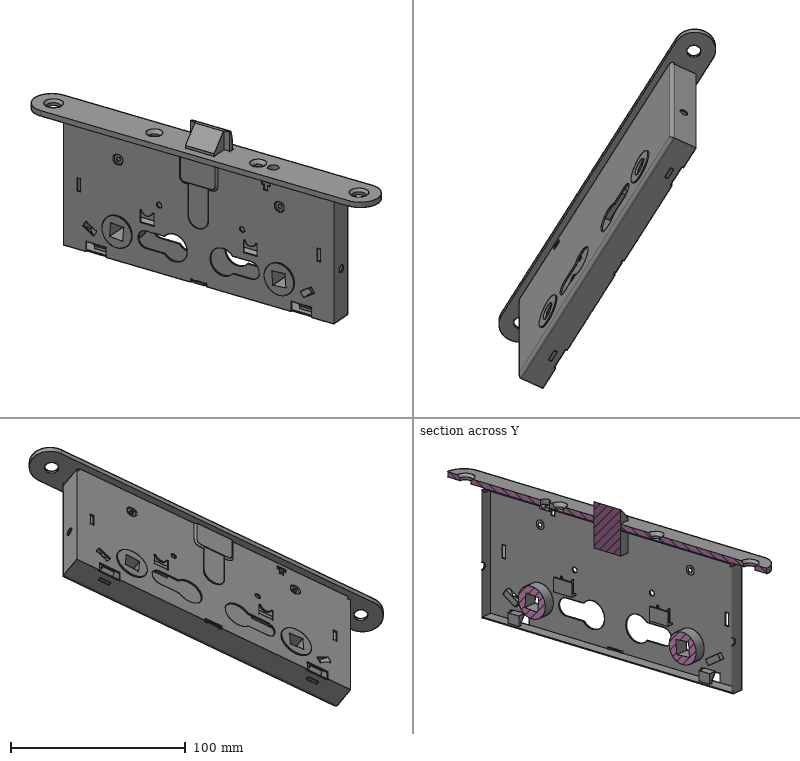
import cadquery as cq
import math


plate_length = 235.0
plate_width = 24.0
plate_thickness = 3.5
plate_bottom = -plate_thickness
end_screw_x = 104.5
end_screw_diameter = 8.0
end_screw_sink_diameter = 11.3
case_screw_x = 35.5
case_screw_diameter = 5.6
case_screw_sink_diameter = 9.8
adjuster_x = 45.9
adjuster_diameter = 6.4
sink_angle = 90.0

case_length = 185.0
case_front = -8.0
case_back = 8.3
case_bottom = -84.0
sheet = 0.9
bend_radius = 2.2
raised_front = case_front - 0.9
raised_back = case_back + 0.7
corner_notch = 1.6

latch_top = 12.0
latch_bottom = -20.0
latch_half_width = 9.8
latch_front = -6.8
latch_nose_height = 1.7
latch_ridge_y = 3.0
flange_half_width = 13.4
flange_front = 3.8
flange_back = 6.9
flange_top_back = 5.4
flange_taper_start = 6.0
flange_side_clearance = 0.5
flange_back_clearance = 0.2

housing_width = 26.3
housing_bottom = -21.8
housing_corner = 4.0
housing_bevel = 1.4
tongue_width = 13.7
tongue_bottom = -48.0
tongue_rise = 0.7

lock_axis_z = -65.2
hub_x = 55.5
hub_diameter = 20.2
spindle_size = 9.0
spindle_tilt = 4.5
hub_back_hole_diameter = 10.2
cylinder_x = 16.6
cylinder_diameter = 17.5
cylinder_slot_height = 11.2
cylinder_slot_end_x = 41.5

rivet_x = 55.2
rivet_z = -19.3
rivet_diameter = 6.8
rivet_floor_diameter = 5.8
rivet_depth = 0.7
rivet_hole_diameter = 2.7
stop_holes_x = (-27.0, 29.8)
stop_hole_z = -40.7
stop_hole_diameter = 3.5
side_slot_x = 82.1
side_slot_z = -42.8
side_slot_width = 2.4
side_slot_height = 8.2
spring_window_x = 35.4
spring_window_width = 9.5
spring_window_top = -47.2
spring_window_bottom = -55.2
spring_bump_radius = 3.8
spring_bump_bottom = -50.0
spring_ledge_width = 13.5
spring_ledge_depth = 3.0
spring_ledge_rise = 1.2
dent_x = 74.5
dent_z = -68.7
dent_length = 8.8
dent_width = 4.0
dent_depth = 3.0
dent_tilt = 32.0
cross_hole_z = -52.0
cross_hole_diameter = 4.6

tee_top = -6.0
tee_shoulder = -8.1
tee_bottom = -11.4
tee_width = 5.7
tee_stem_width = 2.7
ramp_block_bottom = -5.8
ramp_bottom = -5.3

tab_x = 70.2
tab_notch_width = 13.9
tab_notch_top = -77.5
tab_width = 8.0
tab_tip_width = 7.0
tab_hook_front = case_front + 1.5
tab_hook_bottom = -81.4
tab_front = -3.5
tab_back = -1.5
tab_bottom = case_bottom - 0.5
middle_notch_width = 11.0
middle_notch_height = 2.0
middle_tab_width = 7.1
middle_tab_setback = 0.4
middle_tab_gap = 0.6


def box(x_min, x_max, y_min, y_max, z_min, z_max):
    """Box between the given limits."""
    size = (x_max - x_min, y_max - y_min, z_max - z_min)
    return cq.Workplane("XY").box(*size, centered=False).translate((x_min, y_min, z_min))


def centred_box(x, width, y_min, y_max, z_min, z_max):
    """Box centred on x."""
    return box(x - width / 2, x + width / 2, y_min, y_max, z_min, z_max)


def xz_plane(y):
    """Workplane facing the front, so that extruding goes towards -Y."""
    return cq.Workplane("XZ", origin=(0, y, 0))


def rod(x, z, diameter, y_min, y_max):
    """Cylinder along Y."""
    return xz_plane(y_max).center(x, z).circle(diameter / 2).extrude(y_max - y_min)


def tilted_rectangle(x, z, length, height, angle, y_min, y_max):
    """Rectangular prism along Y, turned anticlockwise when looked at from the front."""
    profile = xz_plane(y_max).transformed(offset=(x, z, 0), rotate=(0, 0, angle))
    return profile.rect(length, height).extrude(y_max - y_min)



def latch_block():
    side = [
        (flange_front, latch_bottom),
        (latch_front, latch_bottom),
        (latch_front, latch_nose_height),
        (latch_ridge_y, latch_top),
        (flange_front, latch_top),
    ]
    profile = cq.Workplane("YZ").polyline(side).close()
    return profile.extrude(latch_half_width, both=True)


def latch_flange():
    side = [
        (flange_front, latch_bottom),
        (flange_front, latch_top),
        (flange_top_back, latch_top),
        (flange_back, flange_taper_start),
        (flange_back, latch_bottom),
    ]
    profile = cq.Workplane("YZ").polyline(side).close()
    return profile.extrude(flange_half_width, both=True)


def build_latch():
    return latch_block().union(latch_flange())


def latch_opening(z_min, z_max):
    """T-shaped opening that the latch slides through, with clearance around its flange."""
    block = centred_box(0, 2 * latch_half_width, latch_front, flange_front, z_min, z_max)
    flange_width = 2 * (flange_half_width + flange_side_clearance)
    opening_back = flange_back + flange_back_clearance
    flange = centred_box(0, flange_width, flange_front, opening_back, z_min, z_max)
    return block.union(flange)



def build_faceplate():
    plate = cq.Workplane("XY").slot2D(plate_length, plate_width).extrude(-plate_thickness)
    plate = plate.faces(">Z").workplane(origin=(0, 0, 0)).pushPoints(
        [(-end_screw_x, 0), (end_screw_x, 0)]
    ).cskHole(end_screw_diameter, end_screw_sink_diameter, sink_angle)
    plate = plate.faces(">Z").workplane(origin=(0, 0, 0)).pushPoints(
        [(-case_screw_x, 0), (case_screw_x, 0)]
    ).cskHole(case_screw_diameter, case_screw_sink_diameter, sink_angle)
    plate = plate.faces(">Z").workplane(origin=(0, 0, 0)).center(adjuster_x, 0).hole(adjuster_diameter)
    return plate.cut(latch_opening(plate_bottom, 0))



def bent_box(inset, radius):
    """Case block moved in by inset, rounded along its side and bottom edges at the back."""
    block = centred_box(
        0, case_length - 2 * inset,
        case_front + inset, case_back - inset,
        case_bottom + inset, plate_bottom - inset,
    )
    return block.faces(">Y").edges("not >Z").fillet(radius)


def corner_notches():
    """Notches in the front and end walls at both upper corners, up to the back bend."""
    notches = cq.Workplane("XY")
    for side in (-1, 1):
        notch = centred_box(
            side * (case_length - corner_notch) / 2, corner_notch,
            case_front, case_back - bend_radius,
            plate_bottom - corner_notch, plate_bottom,
        )
        notches = notches.add(notch)
    return notches.combine()


def corner_liners():
    """Folded flanges that close the upper corner notches from inside."""
    liners = cq.Workplane("XY")
    for side in (-1, 1):
        liner = centred_box(
            side * (case_length / 2 - corner_notch - sheet / 2), sheet,
            case_front + sheet, case_back - sheet,
            plate_bottom - corner_notch - sheet, plate_bottom,
        )
        liners = liners.add(liner)
    return liners.combine()


def latch_housing():
    """Raised bevelled pad with a round-ended tongue below it."""
    rise = case_front - raised_front
    bevel_angle = math.degrees(math.atan(housing_bevel / rise))
    outline_height = plate_bottom - housing_bottom + 2 * housing_bevel
    pad = (
        xz_plane(case_front)
        .center(0, housing_bottom + outline_height / 2)
        .sketch()
        .rect(housing_width, outline_height)
        .vertices("<Y")
        .fillet(housing_corner)
        .finalize()
        .extrude(rise, taper=bevel_angle)
    )
    above_case = centred_box(
        0, housing_width, raised_front, case_front, plate_bottom, plate_bottom + outline_height
    )
    pad = pad.cut(above_case)
    tongue_radius = tongue_width / 2
    end_z = tongue_bottom + tongue_radius
    tongue_front = case_front - tongue_rise
    tongue = centred_box(0, tongue_width, tongue_front, case_front, end_z, housing_bottom + housing_corner)
    return pad.union(tongue).union(rod(0, end_z, tongue_width, tongue_front, case_front))


def hub(side):
    """Drum through the case with a tilted square hole and a round opening at the back."""
    drum = rod(side * hub_x, lock_axis_z, hub_diameter, raised_front, raised_back)
    square = tilted_rectangle(
        side * hub_x, lock_axis_z, spindle_size, spindle_size,
        side * spindle_tilt, raised_front, case_back - sheet,
    )
    opening = rod(side * hub_x, lock_axis_z, hub_back_hole_diameter, case_back - sheet, raised_back)
    return drum.cut(square).cut(opening)


def cylinder_opening(side):
    """Profile-cylinder hole through both walls, its slot pointing outwards."""
    barrel = rod(side * cylinder_x, lock_axis_z, cylinder_diameter, case_front, case_back)
    slot_radius = cylinder_slot_height / 2
    slot_end = cylinder_slot_end_x - slot_radius
    slot_length = slot_end - cylinder_x
    slot = centred_box(
        side * (cylinder_x + slot_length / 2), slot_length, case_front, case_back,
        lock_axis_z - slot_radius, lock_axis_z + slot_radius,
    )
    slot_tip = rod(side * slot_end, lock_axis_z, cylinder_slot_height, case_front, case_back)
    return barrel.union(slot).union(slot_tip)


def rivet_recess(side):
    """Tapered recess with a small hole through the front wall."""
    wall_back = case_front + sheet
    taper = math.degrees(math.atan((rivet_diameter - rivet_floor_diameter) / 2 / rivet_depth))
    recess = xz_plane(case_front).center(side * rivet_x, rivet_z).circle(rivet_diameter / 2)
    recess = recess.extrude(-rivet_depth, taper=taper)
    return recess.union(rod(side * rivet_x, rivet_z, rivet_hole_diameter, case_front, wall_back))


def spring_window(side):
    """Window in the front wall with a round lobe hanging from its upper edge."""
    wall_back = case_front + sheet
    x = side * spring_window_x
    window = centred_box(
        x, spring_window_width, case_front, wall_back, spring_window_bottom, spring_window_top
    )
    lobe_z = spring_bump_bottom + spring_bump_radius
    return window.cut(rod(x, lobe_z, 2 * spring_bump_radius, case_front, wall_back))


def spring_ledge(side):
    """Bracket behind the spring window: a sloping ledge with an upright back."""
    wall_back = case_front + sheet
    upright_front = wall_back + spring_ledge_depth
    profile = [
        (wall_back, spring_window_bottom),
        (upright_front, spring_window_bottom + spring_ledge_rise),
        (upright_front, spring_window_top),
        (upright_front + sheet, spring_window_top),
        (upright_front + sheet, spring_window_bottom - sheet),
        (wall_back, spring_window_bottom - sheet),
    ]
    ledge = cq.Workplane("YZ").polyline(profile).close().extrude(spring_ledge_width / 2, both=True)
    return ledge.translate((side * spring_window_x, 0, 0))


def dent_block(side):
    """Metal behind a dent, one sheet thickness deeper than the dent."""
    return tilted_rectangle(
        side * dent_x, dent_z, dent_length + 2 * sheet, dent_width,
        side * dent_tilt, case_front, case_front + dent_depth + sheet,
    )


def dent_groove(side):
    """V-shaped dent pressed into the front wall."""
    groove = (
        cq.Workplane("XY")
        .polyline([(-dent_length / 2, 0), (dent_length / 2, 0), (0, dent_depth)])
        .close()
        .extrude(dent_width / 2, both=True)
    )
    groove = groove.rotate((0, 0, 0), (0, 1, 0), -side * dent_tilt)
    return groove.translate((side * dent_x, case_front, dent_z))


def side_slot(side):
    return centred_box(
        side * side_slot_x, side_slot_width, case_front, case_front + sheet,
        side_slot_z - side_slot_height / 2, side_slot_z + side_slot_height / 2,
    )


def closing_tab_notch(side):
    """Notch in the lower edge of the front wall."""
    return centred_box(
        side * tab_x, tab_notch_width, case_front, case_front + sheet, case_bottom, tab_notch_top
    )


def closing_tab(side):
    """Tab behind the notch with an undercut hook, passing down through the bottom wall."""
    profile = [
        (tab_back, tab_notch_top + sheet),
        (tab_hook_front, tab_notch_top + sheet),
        (tab_hook_front, tab_notch_top),
        (tab_front, tab_hook_bottom),
        (tab_front, case_bottom),
        (tab_back, case_bottom),
    ]
    tab = cq.Workplane("YZ").polyline(profile).close().extrude(tab_width / 2, both=True)
    tip = centred_box(0, tab_tip_width, tab_front, tab_back, tab_bottom, case_bottom)
    return tab.union(tip).translate((side * tab_x, 0, 0))


def middle_notch():
    """Notch at the middle of the lower front edge, around a slightly set back tab."""
    top = case_bottom + middle_notch_height
    wall_back = case_front + sheet
    notch = centred_box(0, middle_notch_width, case_front, wall_back, case_bottom, top)
    tab = centred_box(
        0, middle_tab_width, case_front + middle_tab_setback, wall_back,
        case_bottom, top - middle_tab_gap,
    )
    return notch.cut(tab)


def tee_opening():
    """Bar of the T passes through both walls, its stem only through the front."""
    bar = centred_box(adjuster_x, tee_width, case_front, case_back, tee_shoulder, tee_top)
    stem = centred_box(
        adjuster_x, tee_stem_width, case_front, case_front + sheet, tee_bottom, tee_shoulder
    )
    return bar.union(stem)


def adjuster_block():
    """Block under the adjuster hole; its right half is a ramp that rises outwards."""
    half = adjuster_diameter / 2 + sheet
    block = centred_box(adjuster_x, 2 * half, -half, half, ramp_block_bottom, plate_bottom)
    ramp_end = adjuster_x + adjuster_diameter / 2
    ramp = [(adjuster_x, plate_bottom), (ramp_end, plate_bottom), (adjuster_x, ramp_bottom)]
    pocket = xz_plane(0).polyline(ramp).close().extrude(adjuster_diameter / 2, both=True)
    return block, pocket


def build_case():
    case = bent_box(0, bend_radius).cut(bent_box(sheet, bend_radius - sheet))
    case = case.cut(corner_notches()).union(corner_liners())
    case = case.union(latch_housing())
    case = case.cut(latch_opening(plate_bottom - sheet, plate_bottom))
    case = case.cut(tee_opening()).cut(middle_notch())

    ramp_block, ramp_pocket = adjuster_block()
    case = case.union(ramp_block).cut(ramp_pocket)

    for x in stop_holes_x:
        case = case.cut(rod(x, stop_hole_z, stop_hole_diameter, case_front, case_front + sheet))

    for side in (-1, 1):
        case = case.cut(cylinder_opening(side))
        case = case.cut(rod(side * hub_x, lock_axis_z, hub_diameter, case_front, case_back))
        case = case.union(hub(side))
        case = case.cut(rivet_recess(side)).cut(spring_window(side)).cut(side_slot(side))
        case = case.union(spring_ledge(side))
        case = case.union(dent_block(side)).cut(dent_groove(side))
        case = case.cut(closing_tab_notch(side)).union(closing_tab(side))

    cross_hole = cq.Workplane("YZ").center(0, cross_hole_z).circle(cross_hole_diameter / 2)
    return case.cut(cross_hole.extrude(case_length / 2, both=True))


case = build_case()
faceplate = build_faceplate()
latch = build_latch()

result = cq.Compound.makeCompound([case.val(), faceplate.val(), latch.val()])